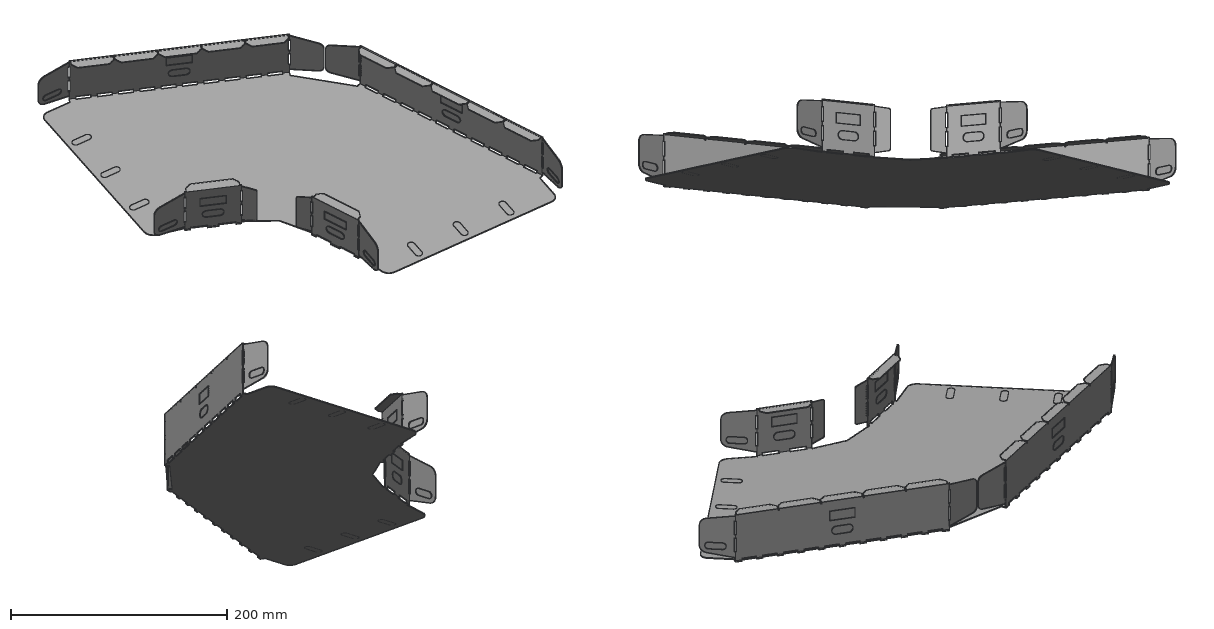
import math

import cadquery as cq

SECTOR_ANGLE = 45.0
HALF_ANGLE = SECTOR_ANGLE / 2
SIN_HALF = math.sin(math.radians(HALF_ANGLE))
COS_HALF = math.cos(math.radians(HALF_ANGLE))

THICKNESS = 1.0
HEIGHT = 50.3
OUTER_FACE_Y = 338.0
OUTER_LENGTH = 207.0
INNER_FACE_Y = 151.0
INNER_LENGTH = 53.2

CHAMFER_RADIUS = 347.3
INNER_CORNER_RADIUS = 160.6
INNER_STEP = 2.4
OUTER_CORNER_FILLET = 7.0
INNER_CORNER_FILLET = 10.0
PLATE_SLOT_RADII = (200.0, 250.0, 300.0)
PLATE_SLOT_INSET = 15.0

OUTER_LIP_COUNT = 5
INNER_LIP_COUNT = 1
LIP_DEPTH = 10.0
LIP_CHAMFER = 5.0
LIP_GAP = 1.0
LIP_END_MARGIN = 1.5
LIP_RELIEF_HEIGHT = 2.0

FLAP_LENGTH = 33.8
MIDDLE_FLAP_GAP = 1.5
SHORT_FLAP_LENGTH = 15.0
FLAP_BOTTOM = 4.5
FLAP_TOP = 48.8
FLAP_END_DROP = 5.0
FLAP_TAPER = FLAP_END_DROP / FLAP_LENGTH
FLAP_CORNER = 8.0
MIDDLE_FLAP_CORNER = 6.0
SHORT_FLAP_CORNER = 2.0
FLAP_SLOT_CENTRE = 18.7
FLAP_SLOT_Z = 16.0

BEND_SLOT_LENGTH = 14.0
BEND_SLOT_WIDTH = 2.0
BEND_SLOT_CUT_DEPTH = 4.0
BEND_SLOT_CENTRES_Z = (18.0, 36.0)
BASE_SLOT_HEIGHT = 2.8
BASE_SLOT_DEPTH = 2.0
OUTER_BASE_SLOT_COUNT = 10
OUTER_BASE_SLOT_PITCH = 20.0
OUTER_BASE_SLOT_LENGTH = 14.0
INNER_BASE_SLOT_COUNT = 2
INNER_BASE_SLOT_PITCH = INNER_LENGTH / 2
INNER_BASE_SLOT_LENGTH = 16.0

KNOCKOUT_DEPTH = 0.25
SLOT_LENGTH = 20.0
SLOT_WIDTH = 7.0
WINDOW_LENGTH = 24.5
WINDOW_HEIGHT = 10.0
WINDOW_Z = 34.0
OBLONG_LENGTH = 20.5
OBLONG_HEIGHT = 8.5
OBLONG_Z = 18.0


def box(x_min, x_max, y_min, y_max, z_min, z_max):
    size = (x_max - x_min, y_max - y_min, z_max - z_min)
    return cq.Workplane("XY").box(*size, centered=False).translate((x_min, y_min, z_min))


def upright(y):
    """Sketch plane facing -Y, with its local axes along X and Z."""
    return cq.Workplane("XZ", origin=(0, y, 0))


def two_sided(make_recess, near_y):
    """Recess both faces of a sheet that starts at near_y."""
    near = make_recess(upright(near_y)).extrude(-KNOCKOUT_DEPTH)
    far = make_recess(upright(near_y + THICKNESS)).extrude(KNOCKOUT_DEPTH)
    return near.union(far)


def make_flap(length, corner, with_slot):
    """Tapered flap along +X, with its far face on Y = 0 and its fold at X = 0."""
    drop = FLAP_TAPER * length
    outline = [
        (0, FLAP_BOTTOM),
        (length, FLAP_BOTTOM + drop),
        (length, FLAP_TOP - drop),
        (0, FLAP_TOP),
    ]
    flap = upright(0).polyline(outline).close().extrude(THICKNESS).edges("|Y and >X").fillet(corner)
    if with_slot:
        flap = flap.cut(two_sided(
            lambda plane: plane.center(FLAP_SLOT_CENTRE, FLAP_SLOT_Z).slot2D(SLOT_LENGTH, SLOT_WIDTH),
            -THICKNESS,
        ))
    return flap


def fold_flap(flap, half_length, far_y):
    """Turn a flap towards the bend centre and set it on the right-hand end of a wall."""
    return flap.rotate((0, 0, 0), (0, 0, 1), -HALF_ANGLE).translate((half_length, far_y, 0))


def make_lip(x_start, x_end, wall_y, inward):
    """Lip with chamfered free corners, running from wall_y in the direction inward (+1 or -1)."""
    shoulder = wall_y + inward * (LIP_DEPTH - LIP_CHAMFER)
    tip = wall_y + inward * LIP_DEPTH
    outline = [
        (x_start, wall_y),
        (x_end, wall_y),
        (x_end, shoulder),
        (x_end - LIP_CHAMFER, tip),
        (x_start + LIP_CHAMFER, tip),
        (x_start, shoulder),
    ]
    return cq.Workplane("XY", origin=(0, 0, HEIGHT - THICKNESS)).polyline(outline).close().extrude(THICKNESS)


def make_wall(length, outside_y, inward, lip_count, left_flap, right_flap):
    """Wall of one sector with its lips, end flaps, knockouts and bend perforations.

    The sheet grows from outside_y towards the plate, along +Y or -Y as given by inward.
    """
    half = length / 2
    near_y, far_y = sorted((outside_y, outside_y + inward * THICKNESS))
    wall = box(-half, half, near_y, far_y, 0, HEIGHT)

    lip_pitch = (length - 2 * LIP_END_MARGIN + LIP_GAP) / lip_count
    for index in range(lip_count):
        start = -half + LIP_END_MARGIN + index * lip_pitch
        end = start + lip_pitch - LIP_GAP
        wall = wall.union(make_lip(start, end, outside_y, inward))
        if index:
            wall = wall.cut(box(start - LIP_GAP, start, near_y, far_y, HEIGHT - LIP_RELIEF_HEIGHT, HEIGHT))

    wall = wall.union(fold_flap(right_flap, half, far_y))
    wall = wall.union(fold_flap(left_flap, half, far_y).mirror("YZ"))

    for end_x in (-half, half):
        for z in BEND_SLOT_CENTRES_Z:
            perforation = cq.Workplane("XY").box(BEND_SLOT_WIDTH, BEND_SLOT_CUT_DEPTH, BEND_SLOT_LENGTH)
            wall = wall.cut(perforation.translate((end_x, near_y, z)))

    wall = wall.cut(two_sided(lambda p: p.center(0, WINDOW_Z).rect(WINDOW_LENGTH, WINDOW_HEIGHT), near_y))
    return wall.cut(two_sided(lambda p: p.center(0, OBLONG_Z).slot2D(OBLONG_LENGTH, OBLONG_HEIGHT), near_y))


def make_base_slots(count, pitch, length, outside_y, inward):
    """Row of perforations along the bend between a wall and the plate."""
    y_min, y_max = sorted((outside_y, outside_y + inward * BASE_SLOT_DEPTH))
    slots = cq.Workplane("XY")
    for index in range(count):
        centre = (index - (count - 1) / 2) * pitch
        slots = slots.union(box(centre - length / 2, centre + length / 2, y_min, y_max, 0, BASE_SLOT_HEIGHT))
    return slots


def make_plate():
    """Base plate of one sector, from the mirror line on the left to the end edge on the right."""
    outer_half = OUTER_LENGTH / 2
    inner_half = INNER_LENGTH / 2
    outer_step_y = (CHAMFER_RADIUS - outer_half * SIN_HALF) / COS_HALF
    outer_corner = (CHAMFER_RADIUS * SIN_HALF, CHAMFER_RADIUS * COS_HALF)
    inner_corner = (INNER_CORNER_RADIUS * SIN_HALF, INNER_CORNER_RADIUS * COS_HALF)
    right_side = [
        (inner_half, INNER_FACE_Y),
        (inner_half, INNER_FACE_Y + INNER_STEP),
        inner_corner,
        outer_corner,
        (outer_half, outer_step_y),
        (outer_half, OUTER_FACE_Y),
    ]
    left_side = [(-x, y) for x, y in reversed(right_side)]
    plate = cq.Workplane("XY").polyline(right_side + left_side).close().extrude(THICKNESS)
    corners = ((outer_corner, OUTER_CORNER_FILLET), (inner_corner, INNER_CORNER_FILLET))
    for (x, y), radius in corners:
        corner_edge = cq.selectors.NearestToPointSelector((x, y, THICKNESS / 2))
        plate = plate.edges("|Z").edges(corner_edge).fillet(radius)

    knockouts = (
        cq.Workplane("XY", origin=(0, 0, THICKNESS))
        .pushPoints([(-PLATE_SLOT_INSET, radius) for radius in PLATE_SLOT_RADII])
        .slot2D(SLOT_LENGTH, SLOT_WIDTH)
        .extrude(-KNOCKOUT_DEPTH)
        .rotate((0, 0, 0), (0, 0, 1), -HALF_ANGLE)
    )
    return plate.cut(knockouts)


def make_sector():
    """Plate with both walls, perforated along the bends."""
    end_flap = make_flap(FLAP_LENGTH, FLAP_CORNER, True)
    middle_span = OUTER_FACE_Y * SIN_HALF - OUTER_LENGTH / 2 * COS_HALF
    middle_flap = make_flap(middle_span - MIDDLE_FLAP_GAP / 2, MIDDLE_FLAP_CORNER, False)
    short_flap = make_flap(SHORT_FLAP_LENGTH, SHORT_FLAP_CORNER, False)
    outer_wall = make_wall(OUTER_LENGTH, OUTER_FACE_Y, -1, OUTER_LIP_COUNT, middle_flap, end_flap)
    inner_wall = make_wall(INNER_LENGTH, INNER_FACE_Y, 1, INNER_LIP_COUNT, short_flap, end_flap)
    outer_slots = make_base_slots(
        OUTER_BASE_SLOT_COUNT, OUTER_BASE_SLOT_PITCH, OUTER_BASE_SLOT_LENGTH, OUTER_FACE_Y, -1
    )
    inner_slots = make_base_slots(
        INNER_BASE_SLOT_COUNT, INNER_BASE_SLOT_PITCH, INNER_BASE_SLOT_LENGTH, INNER_FACE_Y, 1
    )
    return make_plate().union(outer_wall).union(inner_wall).cut(outer_slots).cut(inner_slots)


sector = make_sector()
mirrored_sector = sector.mirror("YZ").rotate((0, 0, 0), (0, 0, 1), SECTOR_ANGLE)
result = sector.union(mirrored_sector)